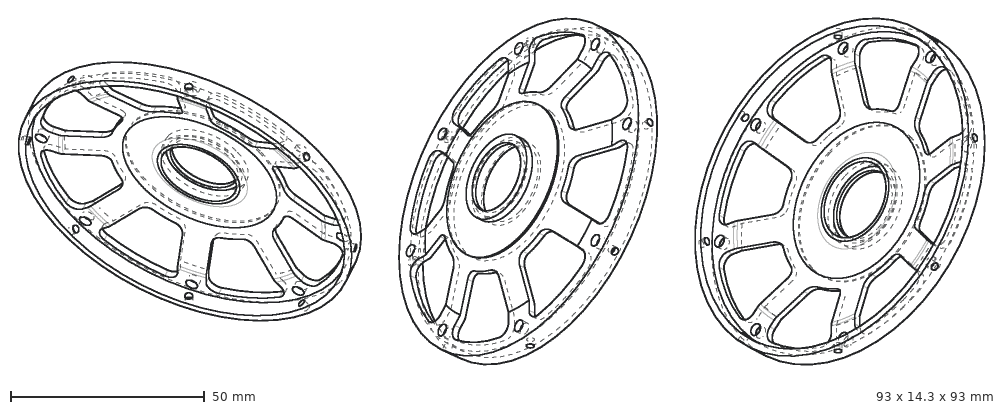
import cadquery as cq
import math


rim_radius = 46.5
rim_wall = 2.0
rim_height = 6.5
flange_thickness = 2.0
rim_inner_radius = rim_radius - rim_wall
flange_inner_y = rim_height - flange_thickness

disc_radius = 21.5
disc_outer_y = 12.25
disc_edge_height = 0.5
cone_angle = math.radians(19.5)
web_thickness = 1.75
web_axial_thickness = web_thickness / math.cos(cone_angle)
blend_radius = 3.25
web_outer_top_y = disc_outer_y - disc_edge_height
disc_inner_y = web_outer_top_y - web_axial_thickness

hub_radius = 11.75
hub_end_y = 14.25
collar_radius = 11.5
collar_y = 9.25
collar_foot_width = 1.8
bearing_seat_radius = 10.5
lip_hole_radius = 9.4
lip_thickness = 1.25
collar_height = disc_inner_y - collar_y
lip_y = hub_end_y - lip_thickness

spoke_count = 8
spoke_width = 8.0
window_inner_radius = 24.75
window_outer_radius = 42.75
window_corner_radius = 3.0

bolt_circle_radius = 42.0
bolt_hole_diameter = 3.2
radial_hole_diameter = 2.0
radial_hole_y = 2.5


def cone_inner_y(radius):
    """Height of the inner cone surface at a distance from the axis."""
    return disc_inner_y - (radius - disc_radius) * math.tan(cone_angle)


def cone_inner_radius_at(y):
    """Distance from the axis at which the inner cone surface reaches a height."""
    return disc_radius + (disc_inner_y - y) / math.tan(cone_angle)


def make_body():
    """Revolve the wall section, drawn as (radius, y), about the wheel axis."""
    flange_start_radius = cone_inner_radius_at(flange_inner_y)
    blend_reach = blend_radius * math.tan(cone_angle / 2)
    blend_start_radius = flange_start_radius - blend_reach * math.cos(cone_angle)
    blend_end_radius = flange_start_radius + blend_reach
    blend_mid = (
        blend_end_radius - blend_radius * math.sin(cone_angle / 2),
        flange_inner_y + blend_radius * (1 - math.cos(cone_angle / 2)),
    )
    web_outer_end_radius = cone_inner_radius_at(rim_height - web_axial_thickness)

    foot_radius = (collar_foot_width**2 + collar_height**2) / (2 * collar_height)
    foot_outer_radius = collar_radius + collar_foot_width
    foot_half_angle = math.asin(collar_foot_width / foot_radius) / 2
    foot_mid = (
        foot_outer_radius - foot_radius * math.sin(foot_half_angle),
        disc_inner_y - foot_radius * (1 - math.cos(foot_half_angle)),
    )

    section = (
        cq.Workplane("XY")
        .moveTo(rim_inner_radius, 0)
        .lineTo(rim_radius, 0)
        .lineTo(rim_radius, rim_height)
        .lineTo(web_outer_end_radius, rim_height)
        .lineTo(disc_radius, web_outer_top_y)
        .lineTo(disc_radius, disc_outer_y)
        .lineTo(hub_radius, disc_outer_y)
        .lineTo(hub_radius, hub_end_y)
        .lineTo(lip_hole_radius, hub_end_y)
        .lineTo(lip_hole_radius, lip_y)
        .lineTo(bearing_seat_radius, lip_y)
        .lineTo(bearing_seat_radius, collar_y)
        .lineTo(collar_radius, collar_y)
        .threePointArc(foot_mid, (foot_outer_radius, disc_inner_y))
        .lineTo(disc_radius, disc_inner_y)
        .lineTo(blend_start_radius, cone_inner_y(blend_start_radius))
        .threePointArc(blend_mid, (blend_end_radius, flange_inner_y))
        .lineTo(rim_inner_radius, flange_inner_y)
        .close()
    )
    return section.revolve(360, (0, 0, 0), (0, 1, 0))


def turned(shape, index):
    """Turn a shape about the wheel axis by a number of spoke steps."""
    return shape.rotate((0, 0, 0), (0, 1, 0), index * 360 / spoke_count)


def make_window():
    """Window cutter between two spokes, with straight sides parallel to those spokes."""
    half_width = spoke_width / 2
    half_step = math.pi / spoke_count

    def side_point(radius, side):
        angle = side * (half_step - math.asin(half_width / radius))
        return (radius * math.cos(angle), radius * math.sin(angle))

    cutter = (
        cq.Workplane("XZ")
        .moveTo(*side_point(window_inner_radius, -1))
        .lineTo(*side_point(window_outer_radius, -1))
        .threePointArc((window_outer_radius, 0), side_point(window_outer_radius, 1))
        .lineTo(*side_point(window_inner_radius, 1))
        .threePointArc((window_inner_radius, 0), side_point(window_inner_radius, -1))
        .close()
        .extrude(-hub_end_y)
    )
    cutter = cutter.edges("|Y").fillet(window_corner_radius)
    return turned(cutter, 0.5)


def make_bolt_hole():
    return (
        cq.Workplane("XZ")
        .center(bolt_circle_radius, 0)
        .circle(bolt_hole_diameter / 2)
        .extrude(-rim_height)
    )


def make_radial_hole():
    return (
        cq.Workplane("YZ", origin=(bolt_circle_radius, radial_hole_y, 0))
        .circle(radial_hole_diameter / 2)
        .extrude(rim_radius)
    )


result = make_body()
for cutter in (make_window(), make_bolt_hole(), make_radial_hole()):
    for spoke in range(spoke_count):
        result = result.cut(turned(cutter, spoke))